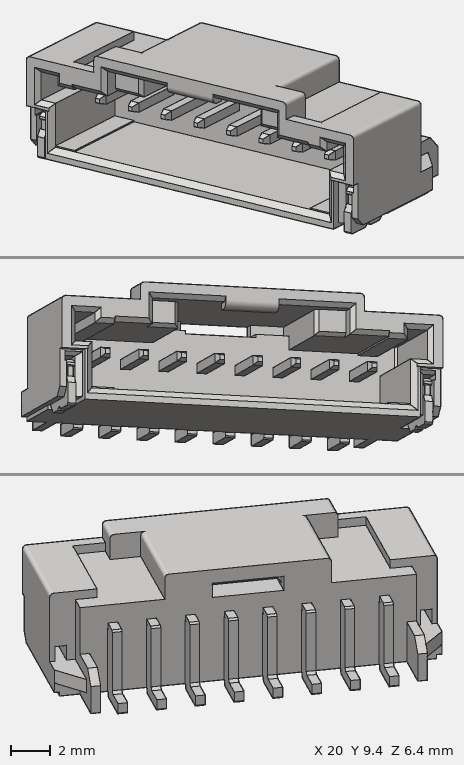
import cadquery as cq

HALF_WIDTH = 10.0
SHELL_FRONT = 0.05
SIDE_END = 6.0
HOUSING_BACK = 7.0
HOUSING_BOTTOM = 0.25
SIDE_BOTTOM = 0.47
SHOULDER_TOP = 5.5
RECESS_TOP = 5.03
RAISED_TOP = 6.4
EDGE_RADIUS = 0.22
CORNER_CHAMFER = 0.45

RAISED_HALF_FRONT = 5.88
RAISED_HALF_BACK = 4.3
RAISED_STEP = 1.75
RECESS_HALF = 7.56
RECESS_FRONT = 0.72
BODY_HALF = 8.68

BEVEL = 0.31
BEVEL_DEPTH = 0.27
CAVITY_BACK = 5.5
MOUTH_RAISED_HALF = 5.5
MOUTH_TOP = 5.95
CEILING = 4.63
KEY_HALF = 7.2
KEY_DROP = 0.1
KEY_EDGE = 7.9
EAR_TOP = 5.05
EAR_HALF = 9.55
EAR_CORNER = 0.12
EAR_BOTTOM = 2.93
MOUTH_HALF = 8.68
FLOOR = 0.58
PAD_RISE = 0.07
LEDGE_FRONT = 0.97
LEDGE_HALF = 3.58
LEDGE_CHAMFER = 0.2
UPPER_POCKET_BACK = 6.4
WINDOW_HALF = 1.84
WINDOW_BOTTOM = 4.87

LATCH_HALF = 1.4
LATCH_BOTTOM = 5.3
LATCH_DEPTH = 0.8
LATCH_RADIUS = 0.38

ARM_THICKNESS = 0.5
ARM_BACK = 9.4
ARM_TOP = 2.45
ARM_CHAMFER = 0.7
WING_TOP = 1.73
WING_BOTTOM = 1.0
WING_BACK = 8.5

POCKET_TOP = 2.83
POCKET_DEPTH = 0.43
LIP_HALF = 8.8
SLOT_OUTER = 9.72
SLOT_STEP = 2.27
SLOT_OUTER_LOW = 9.64
SLOT_INNER = 9.13
SLOT_TOP = 2.54
SLOT_BEVEL = 0.2
PLATE_FRONT = 3.4
TAB_INNER = 9.16
TAB_OUTER = 9.58
TAB_TOP = 2.37
TAB_BACK = 3.6
TAB_FOOT_BACK = 2.95
TAB_FOOT_CHAMFER = 0.1
TAB_NOTCH_Y = 1.93
TAB_NOTCH_HALF = 0.22
TAB_NOTCH_HEIGHT = 0.13
TAB_FRONT_TOP = 1.15
TAB_NECK_Y = 0.65
TAB_NECK_BOTTOM = 1.5
TAB_NECK_TOP = 2.02
TAB_NECK_DEPTH = 0.15
TAB_NECK_SIDE = 0.09
TAB_BARB = 0.05
TAB_BARB_TOP = 2.2

PIN_COUNT = 8
PITCH = 2.0
PIN_WIDTH = 0.5
PIN_CENTRE_Z = 3.13
PIN_TIP = 2.0
TIP_LENGTH = 0.4
TIP_WIDTH = 0.24
FOOT_FRONT = 7.1
LEG_FRONT = 7.08
SHOULDER_Z = 3.72
LEG_FILLET = 0.15
LEG_BACK = 8.03
LEG_TOP = 4.07
LEG_CHAMFER = 0.1
FOOT_BACK = 9.28
FOOT_TOP = 0.6
FOOT_CHAMFER = 0.08


def block(x, y, z):
    """Box spanning the given (low, high) ranges."""
    size = [high - low for low, high in (x, y, z)]
    return cq.Workplane("XY").box(*size, centered=False).translate((x[0], y[0], z[0]))


def centred_block(half, y, z):
    return block((-half, half), y, z)


def both_sides(right_side):
    return right_side.union(right_side.mirror("YZ"))


def side_profile(points, x_low, x_high):
    """Extrude a (Y, Z) outline from x_low to x_high."""
    return cq.Workplane("YZ").polyline(points).close().extrude(x_high - x_low).translate((x_low, 0, 0))


def ruled_loft(front_points, front_y, back_points, back_y):
    """Ruled solid between two (X, Z) outlines."""
    front = cq.Wire.makePolygon([cq.Vector(x, front_y, z) for x, z in front_points], close=True)
    back = cq.Wire.makePolygon([cq.Vector(x, back_y, z) for x, z in back_points], close=True)
    return cq.Workplane("XY").add(cq.Solid.makeLoft([front, back], True))


def rounded_top(body):
    """Round the two long upper edges."""
    return body.faces(">Z").edges("|Y").fillet(EDGE_RADIUS)


def cavity_outline(inset):
    """Cavity section (X, Z), shrunk by the inset on every wall."""
    right = [
        (MOUTH_RAISED_HALF - inset, MOUTH_TOP - inset),
        (MOUTH_RAISED_HALF - inset, CEILING - inset),
        (KEY_HALF, CEILING - inset),
        (KEY_HALF, CEILING - KEY_DROP - inset),
        (KEY_EDGE + inset, CEILING - KEY_DROP - inset),
        (KEY_EDGE + inset, EAR_TOP - inset),
        (EAR_HALF - inset, EAR_TOP - inset),
        (EAR_HALF - inset, EAR_BOTTOM + inset),
        (MOUTH_HALF - inset, EAR_BOTTOM + inset),
        (MOUTH_HALF - inset, FLOOR + inset),
    ]
    return right + [(-x, z) for x, z in reversed(right)]


def housing():
    shell = rounded_top(
        centred_block(HALF_WIDTH, (SHELL_FRONT, SIDE_END), (SIDE_BOTTOM, SHOULDER_TOP))
    )
    recess = centred_block(RECESS_HALF, (RECESS_FRONT, HOUSING_BACK), (RECESS_TOP, RAISED_TOP))
    shell = shell.cut(recess)

    corner = both_sides(
        block((LIP_HALF, HALF_WIDTH), (SHELL_FRONT, POCKET_DEPTH), (0, POCKET_TOP))
    )
    corner_end = POCKET_DEPTH + CORNER_CHAMFER
    wedge = side_profile(
        [(POCKET_DEPTH, 0), (corner_end, 0), (corner_end, SIDE_BOTTOM),
         (POCKET_DEPTH, SIDE_BOTTOM + CORNER_CHAMFER)],
        SLOT_OUTER_LOW, HALF_WIDTH)
    shell = shell.cut(corner).cut(both_sides(wedge))

    rear = centred_block(BODY_HALF, (RECESS_FRONT, HOUSING_BACK), (HOUSING_BOTTOM, RECESS_TOP))
    rear_foot = centred_block(HALF_WIDTH, (SIDE_END, HOUSING_BACK), (SIDE_BOTTOM, WING_TOP))
    lip = centred_block(LIP_HALF, (0, SIDE_END), (HOUSING_BOTTOM, POCKET_TOP))
    plate = centred_block(SLOT_OUTER, (PLATE_FRONT, HOUSING_BACK), (HOUSING_BOTTOM, SIDE_BOTTOM))
    raised_z = (CEILING, RAISED_TOP)
    raised_front = rounded_top(centred_block(RAISED_HALF_FRONT, (SHELL_FRONT, RAISED_STEP), raised_z))
    raised_back = rounded_top(centred_block(RAISED_HALF_BACK, (SHELL_FRONT, HOUSING_BACK), raised_z))

    body = shell
    for piece in (rear, rear_foot, lip, plate, raised_front, raised_back):
        body = body.union(piece)
    return body


def cavity():
    mouth = cavity_outline(0)
    inner = cavity_outline(BEVEL)
    space = ruled_loft(mouth, 0, inner, BEVEL_DEPTH)
    space = space.union(ruled_loft(inner, BEVEL_DEPTH, inner, CAVITY_BACK))

    ledge = block(
        (LEDGE_HALF, MOUTH_RAISED_HALF), (LEDGE_FRONT, CAVITY_BACK), (CEILING - BEVEL, MOUTH_TOP))
    ledge = ledge.faces("<Y").edges("<X or <Z").chamfer(LEDGE_CHAMFER)
    pad = block(
        (KEY_HALF, MOUTH_HALF), (BEVEL_DEPTH, CAVITY_BACK), (FLOOR, FLOOR + BEVEL + PAD_RISE))
    ear_side = EAR_HALF - BEVEL
    corner = (
        cq.Workplane("XY", origin=(0, 0, EAR_BOTTOM))
        .polyline([(ear_side, CAVITY_BACK), (ear_side - EAR_CORNER, CAVITY_BACK),
                   (ear_side, CAVITY_BACK - EAR_CORNER)])
        .close()
        .extrude(EAR_TOP - EAR_BOTTOM)
    )
    for filler in (ledge, pad, corner):
        space = space.cut(both_sides(filler))

    inner_top = MOUTH_TOP - BEVEL
    upper_pocket = centred_block(LEDGE_HALF, (CAVITY_BACK, UPPER_POCKET_BACK), (RECESS_TOP, inner_top))
    window = centred_block(WINDOW_HALF, (CAVITY_BACK, HOUSING_BACK), (WINDOW_BOTTOM, inner_top))
    return space.union(upper_pocket).union(window)


def latch_bar():
    bar = centred_block(LATCH_HALF, (SHELL_FRONT, LATCH_DEPTH), (LATCH_BOTTOM, MOUTH_TOP))
    return bar.edges("|X and <Y and <Z").fillet(LATCH_RADIUS)


def slot_outline(inner, top):
    """Slot section (X, Z), wider on the outside near its top."""
    return [
        (inner, 0), (inner, top), (SLOT_OUTER, top), (SLOT_OUTER, SLOT_STEP),
        (SLOT_OUTER_LOW, SLOT_STEP), (SLOT_OUTER_LOW, 0),
    ]


def tab_slot():
    """Right-hand slot for a solder tab, bevelled at its front opening."""
    front = slot_outline(LIP_HALF, SLOT_TOP + SLOT_BEVEL)
    back = slot_outline(SLOT_INNER, SLOT_TOP)
    bevel_end = POCKET_DEPTH + SLOT_BEVEL
    opening = ruled_loft(front, POCKET_DEPTH, back, bevel_end)
    front_run = ruled_loft(back, bevel_end, back, PLATE_FRONT)
    rear_run = block((SLOT_INNER, SLOT_OUTER), (PLATE_FRONT, SIDE_END), (WING_TOP, SLOT_TOP))
    return opening.union(front_run).union(rear_run)


def solder_tab():
    """Right-hand tab: a thin blade with a necked front edge and a notched foot."""
    outline = [
        (POCKET_DEPTH, TAB_FOOT_CHAMFER),
        (POCKET_DEPTH + TAB_FOOT_CHAMFER, 0),
        (TAB_NOTCH_Y - TAB_NOTCH_HALF, 0),
        (TAB_NOTCH_Y - TAB_NOTCH_HALF + TAB_NOTCH_HEIGHT, TAB_NOTCH_HEIGHT),
        (TAB_NOTCH_Y + TAB_NOTCH_HALF - TAB_NOTCH_HEIGHT, TAB_NOTCH_HEIGHT),
        (TAB_NOTCH_Y + TAB_NOTCH_HALF, 0),
        (TAB_FOOT_BACK, 0),
        (PLATE_FRONT, SIDE_BOTTOM),
        (TAB_BACK, SIDE_BOTTOM),
        (TAB_BACK, TAB_TOP),
        (TAB_NECK_Y + TAB_TOP - TAB_BARB_TOP, TAB_TOP),
        (TAB_NECK_Y - TAB_BARB, TAB_BARB_TOP),
        (TAB_NECK_Y - TAB_BARB, TAB_NECK_TOP + TAB_BARB),
        (TAB_NECK_Y, TAB_NECK_TOP),
        (TAB_NECK_Y, TAB_NECK_BOTTOM),
        (POCKET_DEPTH, TAB_FRONT_TOP),
    ]
    blade = side_profile(outline, TAB_INNER, TAB_OUTER)
    neck_y = (TAB_NECK_Y, TAB_NECK_Y + TAB_NECK_DEPTH)
    neck_z = (TAB_NECK_BOTTOM, TAB_NECK_TOP)
    for x_low in (TAB_INNER, TAB_OUTER - TAB_NECK_SIDE):
        blade = blade.cut(block((x_low, x_low + TAB_NECK_SIDE), neck_y, neck_z))
    return blade


def rear_arm():
    """Right-hand arm with its wing."""
    arm = side_profile(
        [(HOUSING_BACK, HOUSING_BOTTOM), (ARM_BACK, HOUSING_BOTTOM), (ARM_BACK, ARM_TOP - ARM_CHAMFER),
         (ARM_BACK - ARM_CHAMFER, ARM_TOP), (HOUSING_BACK, ARM_TOP)],
        BODY_HALF - ARM_THICKNESS, BODY_HALF)
    wing = (
        cq.Workplane("XY", origin=(0, 0, WING_BOTTOM))
        .polyline([(BODY_HALF, HOUSING_BACK), (HALF_WIDTH, HOUSING_BACK), (BODY_HALF, WING_BACK)])
        .close()
        .extrude(WING_TOP - WING_BOTTOM)
    )
    return arm.union(wing)


def contact(x):
    """One pin with its tapered tip, upright leg and solder foot."""
    half = PIN_WIDTH / 2
    pin = block(
        (-half, half), (PIN_TIP + TIP_LENGTH, LEG_BACK - LEG_CHAMFER),
        (PIN_CENTRE_Z - half, PIN_CENTRE_Z + half))
    tip = (
        cq.Workplane("XZ", origin=(0, PIN_TIP + TIP_LENGTH, PIN_CENTRE_Z))
        .rect(PIN_WIDTH, PIN_WIDTH)
        .workplane(offset=TIP_LENGTH)
        .rect(TIP_WIDTH, TIP_WIDTH)
        .loft()
    )
    leg = side_profile(
        [(FOOT_FRONT, FOOT_CHAMFER), (FOOT_FRONT + FOOT_CHAMFER, 0), (FOOT_BACK - FOOT_CHAMFER, 0),
         (FOOT_BACK, FOOT_CHAMFER), (FOOT_BACK, FOOT_TOP), (LEG_BACK + LEG_FILLET, FOOT_TOP),
         (LEG_BACK, FOOT_TOP + LEG_FILLET), (LEG_BACK, LEG_TOP - LEG_CHAMFER),
         (LEG_BACK - LEG_CHAMFER, LEG_TOP), (LEG_FRONT, LEG_TOP), (LEG_FRONT, SHOULDER_Z),
         (HOUSING_BACK, SHOULDER_Z), (HOUSING_BACK, HOUSING_BOTTOM), (FOOT_FRONT, HOUSING_BOTTOM)],
        -half, half)
    return pin.union(tip).union(leg).translate((x, 0, 0))


result = housing().cut(cavity()).union(latch_bar())
result = result.cut(both_sides(tab_slot()))
result = result.union(both_sides(solder_tab())).union(both_sides(rear_arm()))
for index in range(PIN_COUNT):
    result = result.union(contact((index - (PIN_COUNT - 1) / 2) * PITCH))